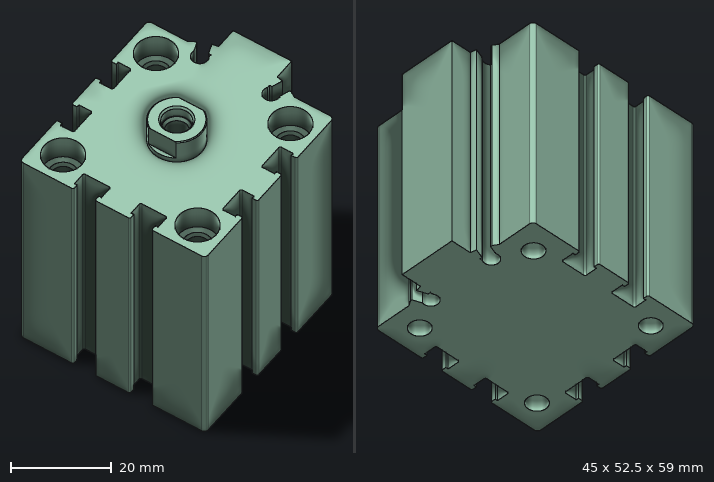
import math

import cadquery as cq

side = 45.0
half_side = side / 2
housing_height = 53.0
corner_radius = 1.0

rail_half_width = 7.1
rail_top = 30.0
rail_neck = 24.9

slot_x = 8.65
slot_y = 20.55
slot_tilt = 20.0
slot_bore_diameter = 3.7
slot_mouth = 2.95
ledge_y = 22.2
lip_tip_x = 8.55
lip_tip_y = 24.6
lip_flat = 0.4
ridge_tip_x = 11.1
ridge_crest_x = 11.65
ridge_base_x = 12.9
ridge_height = 0.8

t_slot_offset = 6.85
t_slot_mouth = 5.2
t_slot_width = 6.5
t_slot_depth = 4.55
t_slot_lip = 1.35
mouth_radius = 0.4
floor_radius = 0.4

tap_diameter = 4.92
countersink_diameter = 6.1
tap_radius = tap_diameter / 2
sink_radius = countersink_diameter / 2
countersink_depth = sink_radius - tap_radius

hole_spacing = 32.5
counterbore_diameter = 9.0
counterbore_depth = 5.7

rod_diameter = 12.0
rod_projection = 6.0
rod_insertion = 14.0
rod_top = housing_height + rod_projection
rod_bottom = housing_height - rod_insertion
rod_chamfer = 0.2
wrench_width = 10.0
flat_length = 4.8
thread_entry_diameter = 7.2
thread_entry_depth = 0.45
relief_diameter = 6.4
relief_depth = 2.6
tap_depth = 12.0
drill_point_angle = 118.0


def mirrored(points):
    """Points reflected across the YZ plane, in reverse order to continue an outline."""
    return [(-x, y) for x, y in reversed(points)]


def profile_blank():
    """Square with rounded corners, the rail and the slot lips, before the slots are cut."""
    right_half = [
        (half_side, -half_side),
        (half_side, half_side),
        (ridge_base_x, half_side),
        (ridge_crest_x, half_side + ridge_height),
        (ridge_tip_x, half_side + ridge_height),
        (lip_tip_x, lip_tip_y - lip_flat),
        (lip_tip_x, lip_tip_y),
        (rail_half_width, rail_neck),
        (rail_half_width, rail_top),
    ]
    outline = right_half + mirrored(right_half)
    blank = cq.Workplane("XY").polyline(outline).close().extrude(housing_height)
    return blank.edges("|Z").edges("<X or >X").fillet(corner_radius)


def sensor_slot():
    """Round-bottomed slot at +X, leaning outwards, with a ledge under the rail lip."""
    length = 2 * slot_bore_diameter
    bore = cq.Workplane("XY").center(slot_x, slot_y).circle(slot_bore_diameter / 2).extrude(housing_height)
    mouth = (
        cq.Workplane("XY")
        .rect(slot_mouth, length)
        .extrude(housing_height)
        .translate((0, length / 2, 0))
        .rotate((0, 0, 0), (0, 0, 1), -slot_tilt)
        .translate((slot_x, slot_y, 0))
    )
    undercut = (
        cq.Workplane("XY")
        .moveTo(rail_half_width, slot_y)
        .lineTo(slot_x, slot_y)
        .lineTo(slot_x, ledge_y)
        .lineTo(rail_half_width, ledge_y)
        .close()
        .extrude(housing_height)
    )
    return bore.union(mouth).union(undercut)


def t_slot():
    """T-slot entering the -Y face at X = 0, with rounded mouth edges and floor corners."""
    half_mouth = t_slot_mouth / 2
    half_width = t_slot_width / 2
    lip_y = -half_side + t_slot_lip
    floor_y = -half_side + t_slot_depth
    return (
        cq.Workplane("XY")
        .moveTo(-half_mouth - mouth_radius, -half_side)
        .radiusArc((-half_mouth, -half_side + mouth_radius), -mouth_radius)
        .lineTo(-half_mouth, lip_y)
        .lineTo(-half_width, lip_y)
        .lineTo(-half_width, floor_y - floor_radius)
        .radiusArc((-half_width + floor_radius, floor_y), floor_radius)
        .lineTo(half_width - floor_radius, floor_y)
        .radiusArc((half_width, floor_y - floor_radius), floor_radius)
        .lineTo(half_width, lip_y)
        .lineTo(half_mouth, lip_y)
        .lineTo(half_mouth, -half_side + mouth_radius)
        .radiusArc((half_mouth + mouth_radius, -half_side), -mouth_radius)
        .close()
        .extrude(housing_height)
    )


def mounting_hole():
    """Counterbored and countersunk through hole, on the Z axis."""
    shoulder_z = housing_height - counterbore_depth
    return (
        cq.Workplane("XZ")
        .lineTo(tap_radius, 0)
        .lineTo(tap_radius, shoulder_z - countersink_depth)
        .lineTo(sink_radius, shoulder_z)
        .lineTo(counterbore_diameter / 2, shoulder_z)
        .lineTo(counterbore_diameter / 2, housing_height)
        .lineTo(0, housing_height)
        .close()
        .revolve(360, (0, 0, 0), (0, 1, 0))
    )


def make_housing():
    housing = profile_blank()
    slot = sensor_slot()
    housing = housing.cut(slot).cut(slot.mirror("YZ"))
    for face_angle in (-90, 0, 90):
        for offset in (-t_slot_offset, t_slot_offset):
            cutter = t_slot().translate((offset, 0, 0))
            housing = housing.cut(cutter.rotate((0, 0, 0), (0, 0, 1), face_angle))
    for x in (-hole_spacing / 2, hole_spacing / 2):
        for y in (-hole_spacing / 2, hole_spacing / 2):
            housing = housing.cut(mounting_hole().translate((x, y, 0)))
    rod_bore = cq.Workplane("XY", origin=(0, 0, rod_bottom)).circle(rod_diameter / 2).extrude(rod_insertion)
    return housing.cut(rod_bore)


def tapped_hole():
    """Stepped bore in the rod end: entry chamfer, relief, countersunk tapped bore and drill point."""
    relief_radius = relief_diameter / 2
    tap_bottom = rod_top - tap_depth
    relief_bottom = rod_top - relief_depth
    point_height = tap_radius / math.tan(math.radians(drill_point_angle / 2))
    return (
        cq.Workplane("XZ")
        .moveTo(0, tap_bottom - point_height)
        .lineTo(tap_radius, tap_bottom)
        .lineTo(tap_radius, relief_bottom - countersink_depth)
        .lineTo(sink_radius, relief_bottom)
        .lineTo(relief_radius, relief_bottom)
        .lineTo(relief_radius, rod_top - thread_entry_depth)
        .lineTo(thread_entry_diameter / 2, rod_top)
        .lineTo(0, rod_top)
        .close()
        .revolve(360, (0, 0, 0), (0, 1, 0))
    )


def make_piston_rod():
    rod = (
        cq.Workplane("XY", origin=(0, 0, rod_bottom))
        .circle(rod_diameter / 2)
        .extrude(rod_top - rod_bottom)
        .faces(">Z")
        .edges()
        .chamfer(rod_chamfer)
    )
    flat_band = cq.Workplane("XY", origin=(0, 0, rod_top - flat_length)).circle(rod_diameter).extrude(flat_length)
    wrench_block = cq.Workplane("XY").box(2 * rod_diameter, wrench_width, 2 * rod_top)
    return rod.cut(flat_band.cut(wrench_block)).cut(tapped_hole())


housing = make_housing()
piston_rod = make_piston_rod()

result = cq.Compound.makeCompound([housing.val(), piston_rod.val()])